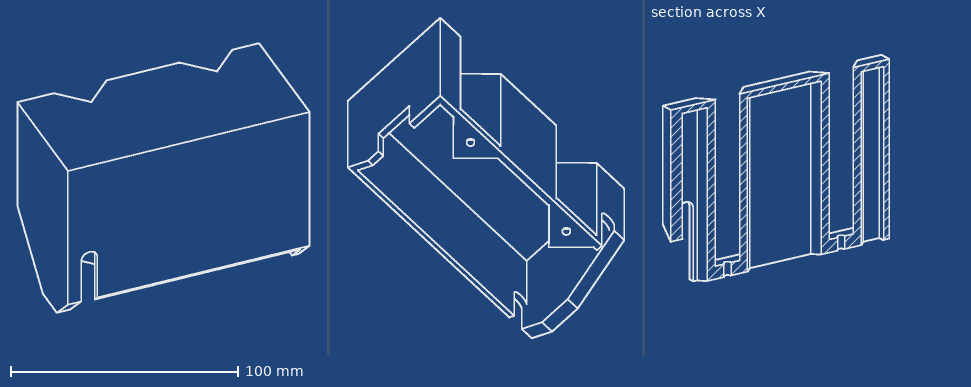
import cadquery as cq
import math

width = 57.2
length = 115.6
height = 84.6
wall = 3.1
front_wall = 6.4

front_bevel = 28.8
side_bevel = 12.6

recess_depth = 12.6
recess_floor = 6.4
recess_places = (30, 90.1)
screw_diameter = 3.5
screw_inset = recess_depth / 2

slot_width = 7.7
slot_height = 38.1

back_opening = width / 3


def box(x_size, y_size, z_size, corner):
    return cq.Workplane("XY").box(x_size, y_size, z_size, centered=False).translate(corner)


def triangle_post(center_y, depth, bottom, top):
    """Upright 90 degree wedge with its wide side on the -X face."""
    points = [(0, center_y - depth), (depth, center_y), (0, center_y + depth)]
    return cq.Workplane("XY").workplane(offset=bottom).polyline(points).close().extrude(top - bottom)


def lower_edge_wedge(edge_x, inward_x, bevel, depth_y):
    """Triangular prism that bevels a lower edge at 45 degrees, starting at the front face."""
    points = [(edge_x, 0), (edge_x + inward_x * bevel, 0), (edge_x, bevel)]
    return cq.Workplane("XZ").polyline(points).close().extrude(-depth_y)


def cross_slot():
    radius = slot_width / 2
    shoulder = slot_height - radius
    slot_end = front_wall + slot_width
    return (
        cq.Workplane("YZ")
        .moveTo(front_wall, 0)
        .lineTo(front_wall, shoulder)
        .threePointArc((front_wall + radius, slot_height), (slot_end, shoulder))
        .lineTo(slot_end, 0)
        .close()
        .extrude(width)
    )


cavity = box(width - 2 * wall, length - front_wall - wall, height - wall, (wall, front_wall, 0))
result = box(width, length, height, (0, 0, 0)).cut(cavity)

for place in recess_places:
    lining_depth = recess_depth + wall * math.sqrt(2)
    screw_hole = cq.Workplane("XY").center(screw_inset, place).circle(screw_diameter / 2).extrude(recess_floor)
    result = result.union(triangle_post(place, lining_depth, 0, height))
    result = result.cut(triangle_post(place, recess_depth, recess_floor, height))
    result = result.cut(screw_hole)

result = result.cut(lower_edge_wedge(0, 1, front_bevel, front_wall))
result = result.cut(lower_edge_wedge(width, -1, side_bevel, length))

result = result.cut(cross_slot())
result = result.cut(box(back_opening, wall, back_opening, (back_opening, length - wall, 0)))